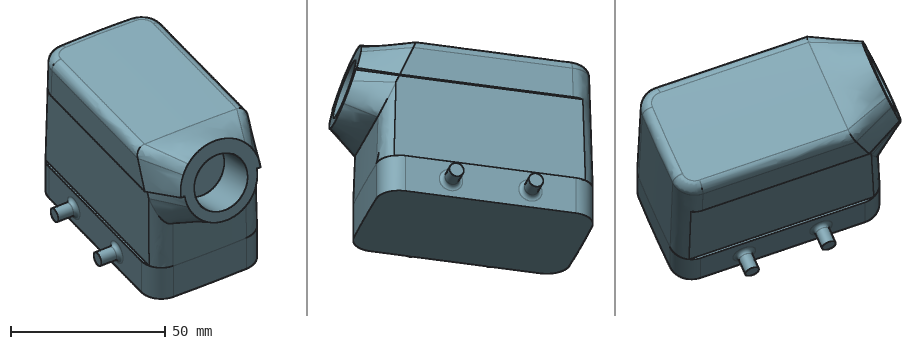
import cadquery as cq
import math

length = 72.8
width = 42.8
half_length = length / 2
half_width = width / 2
end_bow = 0.4
corner_radius = 7.65
collar_height = 13.0

hood_height = 57.1
top_crown = 0.25
end_draft = math.radians(1.5)
side_draft = math.radians(0.65)
top_fillet = 3.5

recess_top = 42.8
recess_half_width_bottom = 20.5
recess_half_width_top = 20.2

neck_tilt = 15
cut_top_x = 24.2
cut_bottom_x = 35.75
cut_bottom_z = 30.25
outlet_radius = 15.1
outlet_lower_radius = 13.7
outlet_top_z = 61.1
outlet_end_x = 46.7
bore_diameter = 20.0
bore_depth = 15
upper_angles = (45, 60, 90)
lower_angles = (90, 107, 140)

pin_diameter = 4.8
pin_span = 57.2
pin_spacing = 26.7
pin_z = 6.2
pin_root_fillet = 1.5


def outline(end_x, side_y, z):
    """Rectangle with bowed short ends, reaching end_x along X and side_y along Y."""
    shoulder = end_x - end_bow
    return (
        cq.Workplane("XY", origin=(0, 0, z))
        .moveTo(-shoulder, -side_y)
        .lineTo(shoulder, -side_y)
        .threePointArc((end_x, 0), (shoulder, side_y))
        .lineTo(-shoulder, side_y)
        .threePointArc((-end_x, 0), (-shoulder, -side_y))
        .close()
    )


def make_collar():
    return outline(half_length, half_width, 0).extrude(collar_height).edges("|Z").fillet(corner_radius)


def drafted_block():
    """Hood with sharp corners, narrowing from the collar to the top."""
    rise = hood_height - collar_height
    top_end_x = half_length - rise * math.tan(end_draft)
    top_side_y = half_width - rise * math.tan(side_draft)
    wires = [
        outline(half_length, half_width, collar_height).wires().val(),
        outline(top_end_x, top_side_y, hood_height).wires().val(),
    ]
    return cq.Workplane(cq.Solid.makeLoft(wires, True))


def round_corners(block, end):
    """Round the two upright corners at one end, -1 for -X and 1 for +X."""
    uprights = [
        edge
        for edge in block.edges().vals()
        if edge.BoundingBox().zlen > collar_height and edge.Center().x * end > 0
    ]
    return block.newObject(uprights).fillet(corner_radius)


def make_hood():
    block = drafted_block()
    shoulder_z = hood_height - top_crown
    crown_envelope = (
        cq.Workplane("YZ")
        .moveTo(-half_width, 0)
        .lineTo(-half_width, shoulder_z)
        .threePointArc((0, hood_height), (half_width, shoulder_z))
        .lineTo(half_width, 0)
        .close()
        .extrude(half_length, both=True)
    )
    hood = round_corners(block, -1).intersect(crown_envelope)
    hood = hood.faces(">Z").edges().fillet(top_fillet)

    below_recess_top = cq.Workplane("XY").box(length, width, recess_top, centered=(True, True, False))
    corner_waste = block.cut(round_corners(block, 1)).intersect(below_recess_top)
    return hood.cut(corner_waste)


def cut_recesses(hood):
    for side in (1, -1):
        recess = (
            cq.Workplane("YZ")
            .moveTo(side * recess_half_width_bottom, collar_height)
            .lineTo(side * recess_half_width_top, recess_top)
            .lineTo(side * half_width, recess_top)
            .lineTo(side * half_width, collar_height)
            .close()
            .extrude(half_length, both=True)
        )
        hood = hood.cut(recess)
    return hood


def cut_x_at(z):
    """X of the slanted cut at height z."""
    slope = (cut_top_x - cut_bottom_x) / (hood_height - cut_bottom_z)
    return cut_bottom_x + slope * (z - cut_bottom_z)


def trim_for_neck(hood):
    """Remove the hood beyond the slanted cut, where the neck takes over."""
    clear_z = 2 * hood_height
    keep = (
        cq.Workplane("XZ")
        .moveTo(-half_length, 0)
        .lineTo(cut_x_at(0), 0)
        .lineTo(cut_x_at(clear_z), clear_z)
        .lineTo(-half_length, clear_z)
        .close()
        .extrude(half_width, both=True)
    )
    return hood.intersect(keep)


tilt = math.radians(neck_tilt)
outlet_rise = outlet_radius + outlet_lower_radius
outlet_top_x = outlet_end_x - outlet_rise * math.sin(tilt)
outlet_plane = cq.Plane(
    origin=(
        outlet_top_x + outlet_radius * math.sin(tilt),
        0,
        outlet_top_z - outlet_radius * math.cos(tilt),
    ),
    xDir=(0, 1, 0),
    normal=(math.cos(tilt), 0, math.sin(tilt)),
)


def outlet_wire():
    """Upper half circle stepping in to a smaller lower half, split where the hood section is."""
    half_stops = [(outlet_radius, angle) for angle in upper_angles]
    half_stops += [(outlet_lower_radius, angle) for angle in lower_angles]
    stops = half_stops + [(radius, -angle) for radius, angle in reversed(half_stops)]

    def point(radius, degrees):
        angle = math.radians(degrees)
        return (radius * math.sin(angle), radius * math.cos(angle))

    last_radius, last_angle = stops[-1]
    sketch = cq.Workplane(outlet_plane).moveTo(*point(last_radius, last_angle))
    for radius, angle in stops:
        if radius == last_radius:
            middle = last_angle + (angle - last_angle) % 360 / 2
            sketch = sketch.threePointArc(point(radius, middle), point(radius, angle))
        else:
            sketch = sketch.lineTo(*point(radius, angle))
        last_radius, last_angle = radius, angle
    return sketch.wire().val()


def make_neck(hood):
    """Ruled loft from the slanted face of the hood to the outlet."""
    cut_normal = cq.Vector(hood_height - cut_bottom_z, 0, cut_bottom_x - cut_top_x)
    section = hood.faces(cq.selectors.DirectionMinMaxSelector(cut_normal)).val().outerWire()
    return cq.Workplane(cq.Solid.makeLoft([section, outlet_wire()], True))


def make_bore():
    return cq.Workplane(outlet_plane).circle(bore_diameter / 2).extrude(-bore_depth)


def make_pin(x, side):
    """Pin standing on the collar wall at side -1 (-Y) or 1 (+Y), with a filleted root."""
    pin_radius = pin_diameter / 2
    root_radius = pin_radius + pin_root_fillet
    reach = pin_span / 2 - half_width
    sag = pin_root_fillet * (1 - math.sqrt(0.5))
    outward = cq.Plane(origin=(x, side * half_width, pin_z), xDir=(1, 0, 0), normal=(0, 0, side))
    return (
        cq.Workplane(outward)
        .lineTo(root_radius, 0)
        .threePointArc((pin_radius + sag, sag), (pin_radius, pin_root_fillet))
        .lineTo(pin_radius, reach)
        .lineTo(0, reach)
        .close()
        .revolve(360, (0, 0, 0), (0, 1, 0))
    )


hood = trim_for_neck(cut_recesses(make_hood()))
result = make_collar().union(hood).union(make_neck(hood)).cut(make_bore())
for side in (1, -1):
    for x in (-pin_spacing / 2, pin_spacing / 2):
        result = result.union(make_pin(x, side))